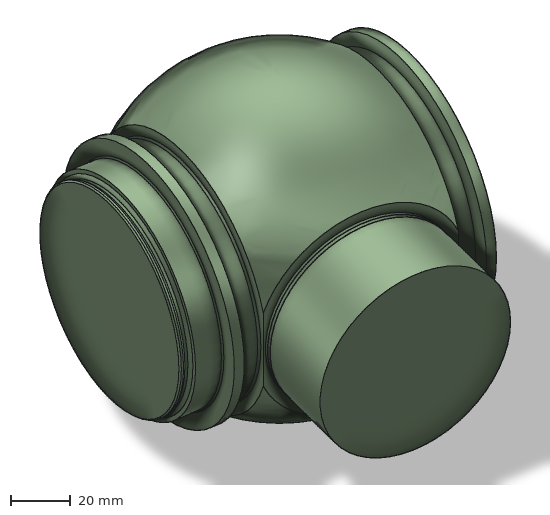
import cadquery as cq

body_radius = 65.1
flange_seat = 39.1
port_seat = 49.6

neck_radius = 47.5
neck_step_length = 0.9
neck_step_radius = neck_radius + 0.6
flange_radius = 52.4
flange_face = 52.5
rim_thickness = 4.0
taper_length = 1.2

collar_radius = 45.5
collar_root_step = 0.6
collar_end = 63.5
tip_end = 68.2
tip_radius = 43.0
groove_radius = 42.3
groove_shoulder_radius = 43.8
groove_start = 64.5
groove_end = 65.7
lip_start = 66.8
lip_chamfer = 0.6

port_radius = 38.2
port_end = 82.9
port_groove_start = 50.8
port_groove_end = 52.2
port_groove_depth = 0.1


def revolve_about_y(outline):
    """Revolve an outline of (radius, y) points, closed along the Y axis."""
    start = (0, outline[0][1])
    end = (0, outline[-1][1])
    profile = cq.Workplane("XY").polyline([start, *outline, end]).close()
    return profile.revolve(360, (0, 0, 0), (0, 1, 0))


def make_body():
    """Sphere with flats on the -Y, +Y and +X sides."""
    envelope_size = body_radius * 3
    envelope = (
        cq.Workplane("XY")
        .box(envelope_size, flange_seat * 2, envelope_size)
        .translate((port_seat - envelope_size / 2, 0, 0))
    )
    return cq.Workplane("XY").sphere(body_radius).intersect(envelope)


def make_flange():
    """Neck and tapered flange on the +Y side."""
    rim_start = flange_face - rim_thickness
    return revolve_about_y([
        (neck_step_radius, 0),
        (neck_step_radius, flange_seat),
        (neck_radius, flange_seat + neck_step_length),
        (neck_radius, rim_start - taper_length),
        (flange_radius, rim_start),
        (flange_radius, flange_face),
    ])


def make_spigot():
    """Collar and grooved tip in front of the -Y flange."""
    return revolve_about_y([
        (collar_radius + collar_root_step, 0),
        (collar_radius + collar_root_step, -flange_face),
        (collar_radius, -flange_face - collar_root_step),
        (collar_radius, -collar_end),
        (groove_shoulder_radius, -collar_end),
        (groove_radius, -groove_start),
        (groove_radius, -groove_end),
        (tip_radius, -lip_start),
        (tip_radius, -tip_end + lip_chamfer),
        (tip_radius - lip_chamfer, -tip_end),
    ])


def make_port():
    """Plain cylinder with a shallow groove near the body."""
    port = cq.Workplane("YZ").circle(port_radius).extrude(port_end)
    groove = (
        cq.Workplane("YZ", origin=(port_groove_start, 0, 0))
        .circle(port_radius)
        .circle(port_radius - port_groove_depth)
        .extrude(port_groove_end - port_groove_start)
    )
    return port.cut(groove)


flange = make_flange()
result = (
    make_body()
    .union(flange)
    .union(flange.mirror("XZ"))
    .union(make_spigot())
    .union(make_port())
)